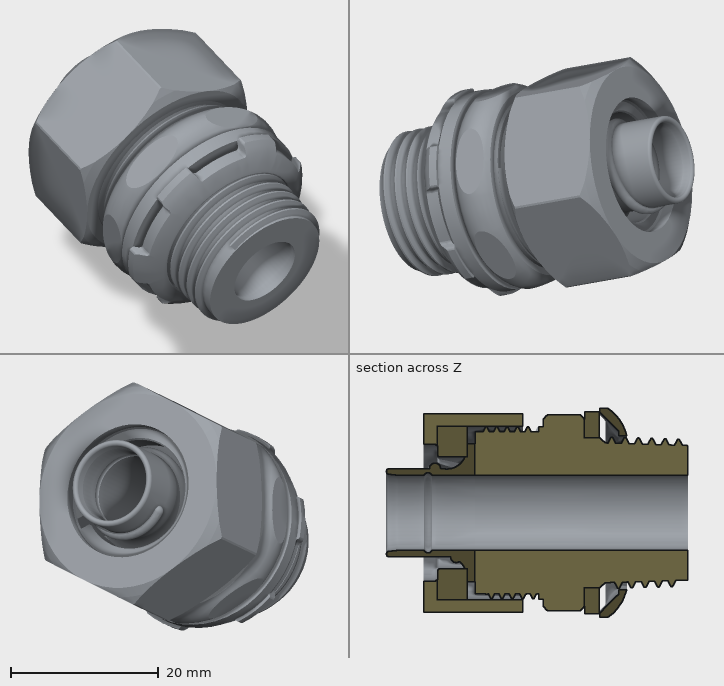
import cadquery as cq
import math


nut_front = 5.05
nut_rear = 18.55
ring_front = 6.95
ring_rear = 11.05
collar_front = 21.28
collar_rear = 26.93
washer_rear = 28.95
locknut_rear = 32.65
connector_end = 40.9

nut_across_flats = 27.0
nut_corner_radius = 15.5
nut_chamfer_kink = (0.78, 14.65)
nut_chamfer_depth = 1.6
nut_opening_radius = 9.25
nut_lip_radius = 9.05
nut_lip_taper = 0.3
nut_bore_radius = 11.75

ring_bore_radius = 7.55
ring_chamfer = 0.2
slit_width = 1.35
slit_angle = -21.0
slit_tilt = 30.0

ferrule_radius = 6.0
bore_radius = 5.07
mouth_radius = 5.2
mouth_taper_end = 1.5
bore_groove_front = 5.15
bore_groove_width = 1.05
bore_groove_depth = 0.33
flare_start = 7.77
flare_end = 10.65
flange_radius = 9.4
flange_thickness = 1.02
rib_radius = 0.78
rib_embedding = 0.2
rib_pitch = 5.73
rib_turns = 1.0
rib_start = 4.35
rib_start_angle = 216.0

front_thread_pitch = 1.41
front_thread_root = 11.05
front_thread_crest = 11.7
front_thread_base_width = 1.0
front_thread_crest_width = 0.2
front_thread_start = 13.6
front_thread_length = 7.05
runout_front = 20.65
runout_radius = 11.75
collar_radius = 14.1
collar_edge_radius = 12.7
collar_flat_distance = 13.35
flat_count = 6
neck_radius = 10.25
neck_taper = 0.8
pipe_thread_pitch = 1.81
pipe_thread_root = 9.15
pipe_thread_height = 0.8
pipe_thread_base_width = 1.23
pipe_thread_crest_width = 0.25
pipe_thread_start = 30.6
pipe_thread_length = 9.65
pipe_taper = 1 / 32
thread_root_overlap = 0.12

washer_radius = 13.75

locknut_bore_radius = 10.4
lug_radius = 14.2
lug_rim_length = 1.15
lug_half_angle = 11.0
lug_count = 6
notch_radius = 12.8
notch_rear = 31.5
notch_half_angle = 15.6
dome_middle = (31.6, 12.75)
dome_end_radius = 10.5
dish_mouth_radius = 13.63
dish_floor = 31.5
dish_floor_radius = 11.05


def revolved(profile):
    """Turn a closed XY profile (x along the axis, y = radius) around the X axis."""
    return profile.close().revolve(360, (0, 0, 0), (1, 0, 0))


def cylinder(start, end, radius):
    return cq.Workplane("YZ", origin=(start, 0, 0)).circle(radius).extrude(end - start)


def thread_ridge(start, length, pitch, root, base_width, crest, crest_width, taper=0.0):
    """Right-hand trapezoid ridge along X; root and crest are the radii where it starts, at +Y."""
    cone_angle = -math.degrees(math.atan(taper)) if taper else 360.0
    foot = root - thread_root_overlap

    def edge_curve(offset, radius):
        center = cq.Vector(0, 0, offset)
        radius_here = radius - taper * offset
        return cq.Wire.makeHelix(pitch, length, radius_here, center, cq.Vector(0, 0, 1), cone_angle)

    edges = [
        edge_curve(-base_width / 2, foot),
        edge_curve(-crest_width / 2, crest),
        edge_curve(crest_width / 2, crest),
        edge_curve(base_width / 2, foot),
    ]
    edge_count = len(edges)
    flanks = [cq.Face.makeRuledSurface(edges[i], edges[(i + 1) % edge_count]) for i in range(edge_count)]
    caps = []
    for place in (0, 1):
        corners = [edge.positionAt(place) for edge in edges]
        caps.append(cq.Face.makeFromWires(cq.Wire.makePolygon(corners, close=True)))
    faces = [face for flank in flanks for face in flank.Faces()] + caps
    ridge = cq.Solid.makeSolid(cq.Shell.makeShell(faces))
    ridge = ridge.rotate(cq.Vector(0, 0, 0), cq.Vector(1, 1, 1), 120)
    return ridge.translate(cq.Vector(start, 0, 0))


def make_nut():
    kink_depth, kink_radius = nut_chamfer_kink
    face_radius = nut_across_flats / 2
    chamfered_blank = revolved(
        cq.Workplane("XY")
        .moveTo(nut_front, 0)
        .lineTo(nut_front, face_radius)
        .lineTo(nut_front + kink_depth, kink_radius)
        .lineTo(nut_front + nut_chamfer_depth, nut_corner_radius)
        .lineTo(nut_rear - nut_chamfer_depth, nut_corner_radius)
        .lineTo(nut_rear - kink_depth, kink_radius)
        .lineTo(nut_rear, face_radius)
        .lineTo(nut_rear, 0)
    )
    hexagon = (
        cq.Workplane("YZ", origin=(nut_front, 0, 0))
        .polygon(6, nut_across_flats, circumscribed=True)
        .extrude(nut_rear - nut_front)
    )
    bore = revolved(
        cq.Workplane("XY")
        .moveTo(nut_front, 0)
        .lineTo(nut_front, nut_opening_radius)
        .lineTo(ring_front - nut_lip_taper, nut_opening_radius)
        .lineTo(ring_front, nut_lip_radius)
        .lineTo(ring_front, nut_bore_radius)
        .lineTo(nut_rear, nut_bore_radius)
        .lineTo(nut_rear, 0)
    )
    return hexagon.intersect(chamfered_blank).cut(bore)


def make_gland_ring():
    ring = revolved(
        cq.Workplane("XY")
        .moveTo(ring_front, ring_bore_radius + ring_chamfer)
        .lineTo(ring_front, nut_bore_radius)
        .lineTo(ring_rear, nut_bore_radius)
        .lineTo(ring_rear, ring_bore_radius)
        .lineTo(ring_front + ring_chamfer, ring_bore_radius)
    )
    slit_length = 3 * (ring_rear - ring_front)
    slit = (
        cq.Workplane("XY")
        .box(slit_length, nut_bore_radius, slit_width, centered=(True, False, True))
        .rotate((0, 0, 0), (0, 1, 0), slit_tilt)
        .translate((ring_front, 0, 0))
        .rotate((0, 0, 0), (1, 0, 0), slit_angle)
    )
    return ring.cut(slit)


def make_ferrule_rib():
    """Round-ended helical rib that screws into the conduit."""
    path = cq.Wire.makeHelix(rib_pitch, rib_pitch * rib_turns, ferrule_radius)
    start_direction = path.tangentAt(0)
    start_point = cq.Vector(ferrule_radius, 0, 0)
    section = cq.Workplane(cq.Plane(start_point, (1, 0, 0), start_direction)).circle(rib_radius)
    rib = section.sweep(cq.Workplane(path), isFrenet=True)
    rib = rib.union(cq.Workplane("XY").sphere(rib_radius).translate(start_point))
    rib = rib.rotate((0, 0, 0), (1, 1, 1), 120)
    return rib.rotate((0, 0, 0), (1, 0, 0), rib_start_angle).translate((rib_start, 0, 0))


def make_ferrule():
    flange_rear = ring_rear + flange_thickness
    flare_middle_x = flare_start + 0.7 * (flare_end - flare_start)
    flare_middle_radius = ferrule_radius + 0.3 * (ring_bore_radius - ferrule_radius)
    tip_round = (ferrule_radius - mouth_radius) / 2
    groove_middle = bore_groove_front + bore_groove_width / 2
    ferrule = revolved(
        cq.Workplane("XY")
        .moveTo(tip_round, mouth_radius)
        .threePointArc((0, mouth_radius + tip_round), (tip_round, ferrule_radius))
        .lineTo(flare_start, ferrule_radius)
        .threePointArc((flare_middle_x, flare_middle_radius), (flare_end, ring_bore_radius))
        .lineTo(ring_rear, ring_bore_radius)
        .lineTo(ring_rear, flange_radius)
        .lineTo(flange_rear, flange_radius)
        .lineTo(flange_rear, bore_radius)
        .lineTo(bore_groove_front + bore_groove_width, bore_radius)
        .threePointArc((groove_middle, bore_radius + bore_groove_depth), (bore_groove_front, bore_radius))
        .lineTo(mouth_taper_end, bore_radius)
    )
    rib = make_ferrule_rib().cut(cylinder(0, connector_end, ferrule_radius - rib_embedding))
    return ferrule.union(rib)


def make_body():
    body_front = ring_rear + flange_thickness
    collar_middle = (collar_front + collar_rear) / 2
    taper_end = washer_rear + neck_taper
    root_at_neck = pipe_thread_root + pipe_taper * (connector_end - taper_end)
    core = revolved(
        cq.Workplane("XY")
        .moveTo(body_front, bore_radius)
        .lineTo(body_front, front_thread_root)
        .lineTo(runout_front, front_thread_root)
        .lineTo(runout_front, runout_radius)
        .lineTo(collar_front, runout_radius)
        .lineTo(collar_front, collar_edge_radius)
        .threePointArc((collar_middle, collar_radius), (collar_rear, collar_edge_radius))
        .lineTo(collar_rear, neck_radius)
        .lineTo(washer_rear, neck_radius)
        .lineTo(taper_end, root_at_neck)
        .lineTo(connector_end, pipe_thread_root)
        .lineTo(connector_end, bore_radius)
    )
    flat_depth = collar_radius - collar_flat_distance
    for i in range(flat_count):
        flat = (
            cq.Workplane("XY")
            .box(collar_rear - collar_front, 2 * flat_depth, collar_radius)
            .translate((collar_middle, collar_flat_distance + flat_depth, 0))
            .rotate((0, 0, 0), (1, 0, 0), i * 360 / flat_count)
        )
        core = core.cut(flat)

    front_thread = thread_ridge(
        front_thread_start, front_thread_length, front_thread_pitch, front_thread_root,
        front_thread_base_width, front_thread_crest, front_thread_crest_width,
    )
    root_at_start = pipe_thread_root + pipe_taper * (connector_end - pipe_thread_start)
    pipe_thread = thread_ridge(
        pipe_thread_start, pipe_thread_length, pipe_thread_pitch, root_at_start,
        pipe_thread_base_width, root_at_start + pipe_thread_height, pipe_thread_crest_width, pipe_taper,
    )
    return core.union(cq.Workplane(front_thread)).union(cq.Workplane(pipe_thread))


def make_washer():
    return cylinder(collar_rear, washer_rear, washer_radius).cut(
        cylinder(collar_rear, washer_rear, neck_radius)
    )


def make_locknut():
    dished_ring = revolved(
        cq.Workplane("XY")
        .moveTo(washer_rear, dish_mouth_radius)
        .lineTo(washer_rear, lug_radius)
        .lineTo(washer_rear + lug_rim_length, lug_radius)
        .threePointArc(dome_middle, (locknut_rear, dome_end_radius))
        .lineTo(locknut_rear, locknut_bore_radius)
        .lineTo(dish_floor, locknut_bore_radius)
        .lineTo(dish_floor, dish_floor_radius)
    )
    floor_angle = math.radians(notch_half_angle)
    rim_angle = math.radians(180 / lug_count - lug_half_angle)
    floor_distance = notch_radius * math.cos(floor_angle)
    floor_half_width = notch_radius * math.sin(floor_angle)
    rim_distance = lug_radius * math.cos(rim_angle)
    rim_half_width = lug_radius * math.sin(rim_angle)
    outward = (0, 1)
    notch = (
        cq.Workplane("YZ", origin=(washer_rear, 0, 0))
        .moveTo(floor_distance, floor_half_width)
        .spline([(rim_distance, rim_half_width)], tangents=[outward, outward], includeCurrent=True)
        .lineTo(lug_radius, rim_half_width)
        .lineTo(lug_radius, -rim_half_width)
        .lineTo(rim_distance, -rim_half_width)
        .spline([(floor_distance, -floor_half_width)], tangents=[outward, outward], includeCurrent=True)
        .close()
        .extrude(notch_rear - washer_rear)
        .cut(cylinder(washer_rear, notch_rear, notch_radius))
    )
    for i in range(lug_count):
        angle = (i + 0.5) * 360 / lug_count
        dished_ring = dished_ring.cut(notch.rotate((0, 0, 0), (1, 0, 0), angle))
    return dished_ring


nut = make_nut()
gland_ring = make_gland_ring()
ferrule = make_ferrule()
body = make_body()
washer = make_washer()
locknut = make_locknut()

result = cq.Compound.makeCompound([
    nut.val(),
    gland_ring.val(),
    ferrule.val(),
    body.val(),
    washer.val(),
    locknut.val(),
])